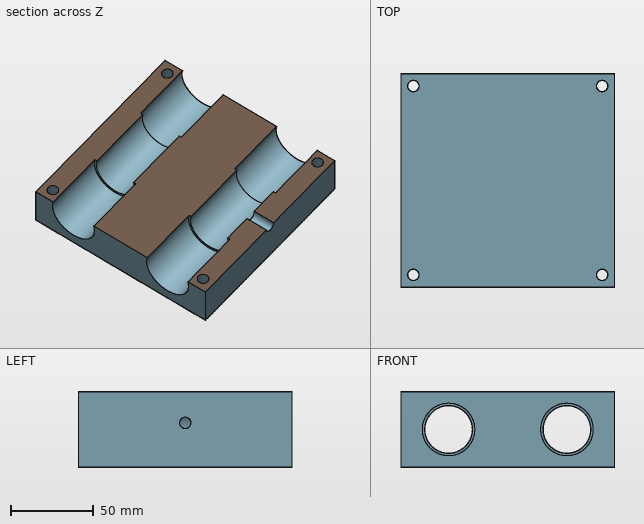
import cadquery as cq

side = 130.0
height = 46.0

bore_offset = 36.0
bore_diameter = 28.9
seat_diameter = 32.0
seat_depth = 42.0

corner_hole_diameter = 6.8
corner_hole_spacing = 114.9

cross_hole_diameter = 6.9
cross_hole_height = 4.0


def cylinder_along_y(x, start_y, length, diameter):
    plane = cq.Plane(origin=(x, start_y, 0), xDir=(1, 0, 0), normal=(0, 1, 0))
    return cq.Workplane(plane).circle(diameter / 2).extrude(length)


block = cq.Workplane("XY").box(side, side, height)

block = (
    block.faces(">Z").workplane()
    .rect(corner_hole_spacing, corner_hole_spacing, forConstruction=True)
    .vertices()
    .hole(corner_hole_diameter)
)

for x in (-bore_offset, bore_offset):
    block = block.cut(cylinder_along_y(x, -side / 2, side, bore_diameter))
    for seat_start in (-side / 2, side / 2 - seat_depth):
        block = block.cut(cylinder_along_y(x, seat_start, seat_depth, seat_diameter))

cross_hole_length = side / 2 - bore_offset
cross_hole = (
    cq.Workplane("YZ", origin=(-side / 2, 0, cross_hole_height))
    .circle(cross_hole_diameter / 2)
    .extrude(cross_hole_length)
)

result = block.cut(cross_hole)